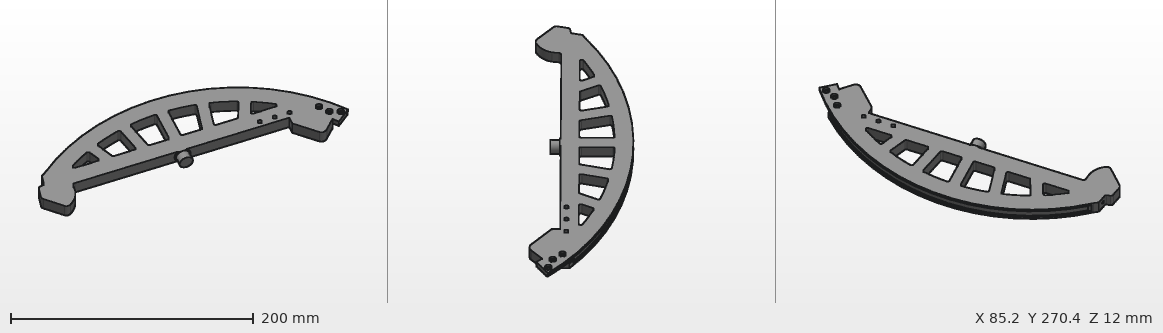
import cadquery as cq
import math

THICKNESS = 12.0
OUTER_RADIUS = 182.0
BAND_WIDTH = 15.5
INNER_RADIUS = OUTER_RADIUS - BAND_WIDTH
SPINE_WIDTH = 15.5
SPINE_X = -122.0
POCKET_X = SPINE_X - SPINE_WIDTH
CUT_LENGTH = 2 * OUTER_RADIUS + BAND_WIDTH

TIP_ANGLE = 51.95
NOTCH_ANGLE = 49.9
TAIL_ANGLE = -38.7

HEAD_CORNER = (-94.9, 115.0)
HEAD_CORNER_RADIUS = 4.5
HEAD_BASE_Y = 94.9

TAIL_EDGE_END = (-139.5, -117.5)
TAIL_NOTCH_TOP = (-130.0, -119.5)
TAIL_NOTCH_BOTTOM = (-129.0, -124.9)
TAIL_TOE = (-116.8, -127.3)
TAIL_HEEL = (-100, -110.8)
TAIL_BACK_TOP = (-114.3, -98.5)
TAIL_BACK_MIDDLE = (-106.0, -102.5)
TAIL_ROOT_Y = -97.5
TAIL_ROOT_RADIUS = 2.2
TAIL_TOE_RADIUS = 3.2
TAIL_NOTCH_TOP_RADIUS = 1.0
TAIL_NOTCH_BOTTOM_RADIUS = 2.2
TAIL_HEEL_RADIUS = 4.0

RIB_WIDTH = 10.3
RIB_STEP = 12
RIB_STEPS_PER_SIDE = 2
POCKET_CORNER_RADIUS = 1.5

GROOVE_STEPS = (
    (7.3, 0.5, -38.2, 42.9),
    (5.7, 1.0, -37.3, 42.5),
)

TONGUE_BOTTOM_Z = 6.2
TONGUE_ROOT_Y = 127.5
TIP_OVERRUN = 1

SPINE_HOLE_DIAMETER = 3.5
SPINE_HOLE_X = -127
SPINE_HOLE_FIRST_Y = 70.8
SPINE_HOLE_PITCH = 13.2
SPINE_HOLE_COUNT = 3
SCREW_PLACES = [(-112.5, 136.8), (-116.0, 128.0), (-124.0, 122.2)]
SCREW_HOLE_DIAMETER = 3.2
SCREW_HEAD_DIAMETER = 5.7
SCREW_HEAD_DEPTH = 2.7
TAIL_HOLE_DIAMETER = 2.5
TAIL_HOLE_DEPTH = 8
TAIL_HOLE_POSITION = 0.65

PIN_DIAMETER = 12.0
PIN_LENGTH = 8.6
COLLAR_DIAMETER = 14.0
COLLAR_LENGTH = 0.8


def polar(radius, angle):
    """Point at the given radius and angle from the -X axis."""
    turn = math.radians(angle)
    return (-radius * math.cos(turn), radius * math.sin(turn))


def round_corner(body, radius, corner):
    """Fillet the upright edge at the given plan point."""
    nearest = cq.selectors.NearestToPointSelector((*corner, THICKNESS / 2))
    return body.edges("|Z").edges(nearest).fillet(radius)


def make_plate():
    head_run = HEAD_CORNER[1] - HEAD_BASE_Y
    plate = (
        cq.Workplane("XY")
        .moveTo(*polar(OUTER_RADIUS, TAIL_ANGLE))
        .threePointArc((-OUTER_RADIUS, 0), polar(OUTER_RADIUS, TIP_ANGLE))
        .lineTo(*polar(INNER_RADIUS, TIP_ANGLE))
        .lineTo(*polar(INNER_RADIUS, NOTCH_ANGLE))
        .lineTo(*HEAD_CORNER)
        .lineTo(HEAD_CORNER[0] - head_run, HEAD_BASE_Y)
        .lineTo(SPINE_X, HEAD_BASE_Y)
        .lineTo(SPINE_X, TAIL_ROOT_Y)
        .lineTo(*TAIL_BACK_TOP)
        .threePointArc(TAIL_BACK_MIDDLE, TAIL_HEEL)
        .lineTo(*TAIL_TOE)
        .lineTo(*TAIL_NOTCH_BOTTOM)
        .lineTo(*TAIL_NOTCH_TOP)
        .lineTo(*TAIL_EDGE_END)
        .close()
        .extrude(THICKNESS)
    )
    plate = round_corner(plate, HEAD_CORNER_RADIUS, HEAD_CORNER)
    plate = round_corner(plate, TAIL_ROOT_RADIUS, (SPINE_X, TAIL_ROOT_Y))
    plate = round_corner(plate, TAIL_TOE_RADIUS, TAIL_TOE)
    plate = round_corner(plate, TAIL_NOTCH_TOP_RADIUS, TAIL_NOTCH_TOP)
    plate = round_corner(plate, TAIL_NOTCH_BOTTOM_RADIUS, TAIL_NOTCH_BOTTOM)
    return round_corner(plate, TAIL_HEEL_RADIUS, TAIL_HEEL)


def make_pockets():
    """Circle segment left of the spine, split by the radial ribs."""
    half_chord = math.sqrt(INNER_RADIUS**2 - POCKET_X**2)
    pockets = (
        cq.Workplane("XY")
        .moveTo(POCKET_X, -half_chord)
        .threePointArc((-INNER_RADIUS, 0), (POCKET_X, half_chord))
        .close()
        .extrude(THICKNESS)
    )
    for step in range(-RIB_STEPS_PER_SIDE, RIB_STEPS_PER_SIDE + 1):
        rib = (
            cq.Workplane("XY")
            .rect(CUT_LENGTH, RIB_WIDTH)
            .extrude(THICKNESS)
            .rotate((0, 0, 0), (0, 0, 1), step * RIB_STEP)
        )
        pockets = pockets.cut(rib)
    return pockets.edges("|Z").fillet(POCKET_CORNER_RADIUS)


def make_groove_step(width, depth, start, end):
    """Band of the curved edge between two angles, centred in the thickness."""
    floor_radius = OUTER_RADIUS - depth
    outside_radius = OUTER_RADIUS + depth
    middle = (start + end) / 2
    return (
        cq.Workplane("XY", origin=(0, 0, (THICKNESS - width) / 2))
        .moveTo(*polar(floor_radius, start))
        .threePointArc(polar(floor_radius, middle), polar(floor_radius, end))
        .lineTo(*polar(outside_radius, end))
        .threePointArc(polar(outside_radius, middle), polar(outside_radius, start))
        .close()
        .extrude(width)
    )


def make_tongue_groove(width, depth, start):
    """Groove carried on from the given angle past the tip, above the underside of the tongue."""
    above = cq.Workplane("XY", origin=(0, 0, TONGUE_BOTTOM_Z)).rect(CUT_LENGTH, CUT_LENGTH)
    overrun_angle = TIP_ANGLE + TIP_OVERRUN
    groove = make_groove_step(width, depth, start, overrun_angle)
    return groove.intersect(above.extrude(THICKNESS - TONGUE_BOTTOM_Z))


def make_tongue_relief():
    """Space below the tongue."""
    return (
        cq.Workplane("XY")
        .moveTo(-OUTER_RADIUS, TONGUE_ROOT_Y)
        .lineTo(0, TONGUE_ROOT_Y)
        .lineTo(0, OUTER_RADIUS)
        .lineTo(-OUTER_RADIUS, OUTER_RADIUS)
        .close()
        .extrude(TONGUE_BOTTOM_Z)
    )


def make_tail_hole():
    """Hole square to the flat end of the curved edge."""
    run = TAIL_NOTCH_TOP[0] - TAIL_EDGE_END[0]
    rise = TAIL_NOTCH_TOP[1] - TAIL_EDGE_END[1]
    centre = cq.Vector(
        TAIL_EDGE_END[0] + run * TAIL_HOLE_POSITION,
        TAIL_EDGE_END[1] + rise * TAIL_HOLE_POSITION,
        THICKNESS / 2,
    )
    inward = cq.Vector(-rise, run, 0)
    hole = cq.Solid.makeCylinder(TAIL_HOLE_DIAMETER / 2, TAIL_HOLE_DEPTH, centre, inward)
    return cq.Workplane(hole)


def make_pin():
    """Pin with a thin collar at its root, the collar trimmed flush with the plate faces."""
    spine_face = cq.Workplane("YZ", origin=(SPINE_X, 0, THICKNESS / 2))
    collar = spine_face.circle(COLLAR_DIAMETER / 2).extrude(COLLAR_LENGTH)
    plate_space = spine_face.rect(COLLAR_DIAMETER, THICKNESS).extrude(COLLAR_LENGTH)
    pin = spine_face.circle(PIN_DIAMETER / 2).extrude(PIN_LENGTH)
    return pin.union(collar.intersect(plate_space))


result = make_plate().cut(make_pockets())

for width, depth, start, end in GROOVE_STEPS:
    result = result.cut(make_groove_step(width, depth, start, end))
    result = result.cut(make_tongue_groove(width, depth, end))

result = result.cut(make_tongue_relief()).cut(make_tail_hole())

spine_hole_places = [
    (SPINE_HOLE_X, SPINE_HOLE_FIRST_Y + index * SPINE_HOLE_PITCH)
    for index in range(SPINE_HOLE_COUNT)
]
top = cq.Workplane("XY", origin=(0, 0, THICKNESS))
result = result.cut(
    top.pushPoints(spine_hole_places).circle(SPINE_HOLE_DIAMETER / 2).extrude(-THICKNESS)
)
result = result.cut(
    top.pushPoints(SCREW_PLACES).circle(SCREW_HOLE_DIAMETER / 2).extrude(-THICKNESS)
)
result = result.cut(
    top.pushPoints(SCREW_PLACES).circle(SCREW_HEAD_DIAMETER / 2).extrude(-SCREW_HEAD_DEPTH)
)

result = result.union(make_pin())